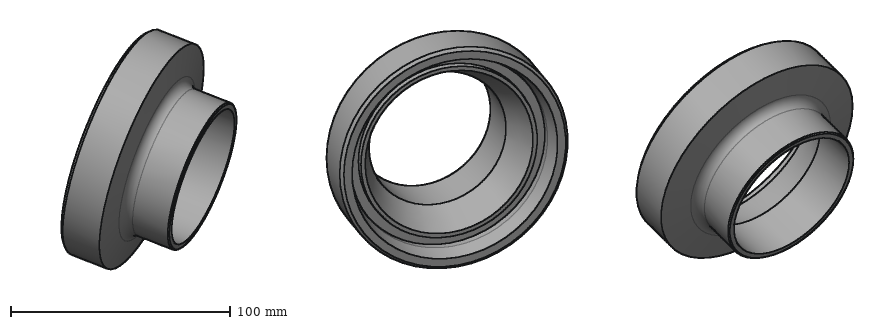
import cadquery as cq
import math

total_length = 46.0

flange_radius = 110.0 / 2
flange_rim_length = 20.0
flange_chamfer = 1.5
flange_back_angle = math.radians(10)

neck_radius = 72.0 / 2
bore_radius = 66.0 / 2
neck_fillet_radius = 5.0
neck_end_chamfer = 0.6

seat_angle = math.radians(15)
seat_depth = 8.0
recess_radius = 94.8 / 2
recess_depth = 11.5
seat_mouth_radius = recess_radius + seat_depth * math.tan(seat_angle)

lip_outer_radius = 85.0 / 2
lip_face_x = 8.0
inlet_cone_end_x = 24.0
inlet_cone_angle = math.radians(25)
inlet_radius = bore_radius + (inlet_cone_end_x - lip_face_x) * math.tan(inlet_cone_angle)

fillet_center_radius = neck_radius + neck_fillet_radius
fillet_start_radius = fillet_center_radius - neck_fillet_radius * math.sin(flange_back_angle)
fillet_start_x = flange_rim_length + (flange_radius - fillet_start_radius) * math.tan(flange_back_angle)
fillet_center_x = fillet_start_x + neck_fillet_radius * math.cos(flange_back_angle)


def fillet_point(angle):
    """Point on the neck fillet, with the angle measured from the -X direction toward the axis."""
    return (
        fillet_center_x - neck_fillet_radius * math.cos(angle),
        fillet_center_radius - neck_fillet_radius * math.sin(angle),
    )


def make_outer_body():
    """Solid flange and neck."""
    fillet_middle_angle = (flange_back_angle + math.pi / 2) / 2
    profile = (
        cq.Workplane("XY")
        .moveTo(0, 0)
        .lineTo(0, flange_radius - flange_chamfer)
        .lineTo(flange_chamfer, flange_radius)
        .lineTo(flange_rim_length, flange_radius)
        .lineTo(fillet_start_x, fillet_start_radius)
        .threePointArc(fillet_point(fillet_middle_angle), fillet_point(math.pi / 2))
        .lineTo(total_length - neck_end_chamfer, neck_radius)
        .lineTo(total_length, neck_radius - neck_end_chamfer)
        .lineTo(total_length, 0)
        .close()
    )
    return profile.revolve(360, (0, 0, 0), (1, 0, 0))


def make_cavity():
    """Space inside the part: tapered seat, recess around the lip, inlet cone and bore."""
    profile = (
        cq.Workplane("XY")
        .moveTo(0, 0)
        .lineTo(0, seat_mouth_radius)
        .lineTo(seat_depth, recess_radius)
        .lineTo(recess_depth, recess_radius)
        .lineTo(recess_depth, lip_outer_radius)
        .lineTo(lip_face_x, lip_outer_radius)
        .lineTo(lip_face_x, inlet_radius)
        .lineTo(inlet_cone_end_x, bore_radius)
        .lineTo(total_length, bore_radius)
        .lineTo(total_length, 0)
        .close()
    )
    return profile.revolve(360, (0, 0, 0), (1, 0, 0))


result = make_outer_body().cut(make_cavity())